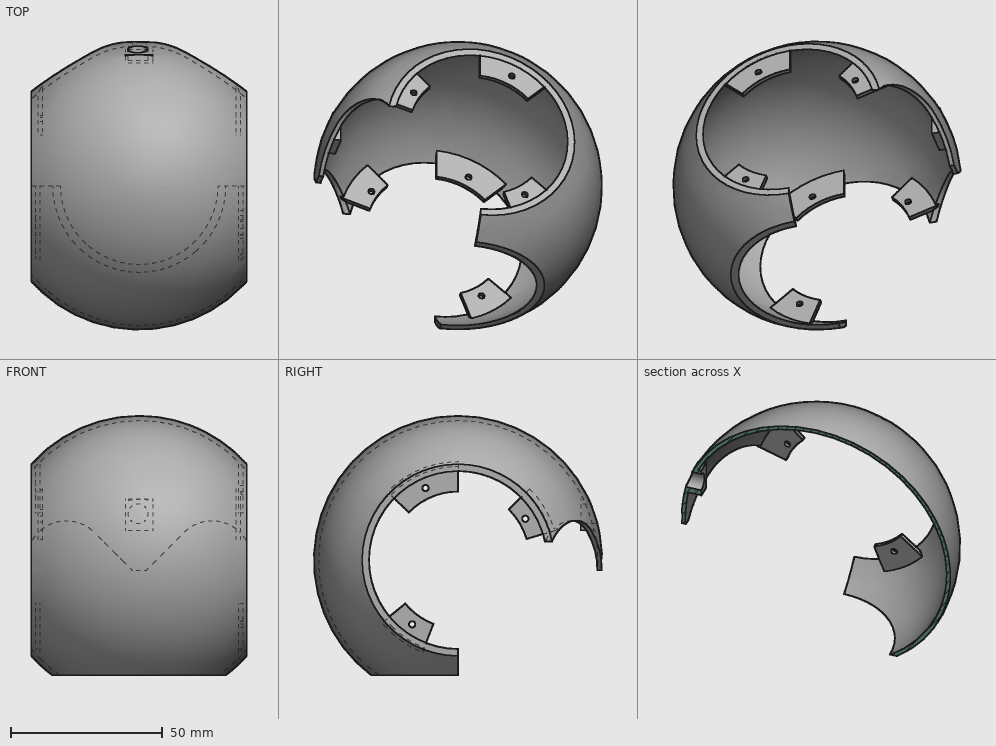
import cadquery as cq
import math

outer_radius = 47.5
wall = 1.5
inner_radius = outer_radius - wall
mid_wall_radius = outer_radius - wall / 2
half_width = 35.5
bottom_z = -38.0
span = 2 * outer_radius

arch_center_x = 24.0
arch_radius = 13.0
strap_flank_angle = 45.0
strap_end_z = -3.4

tabs = [
    (90.0, 136.0, 114.3, 22.5, 1.4),
    (17.0, 45.0, 31.5, 23.6, 2.2),
    (219.5, 249.0, 234.5, 22.5, 1.4),
]
tab_thickness = 1.5
tab_hole_circle_radius = 26.0
tab_hole_diameter = 2.0

boss_half_width = 4.5
boss_inner_y = 40.4
boss_outer_y = 43.05
boss_bottom_z = 9.8
boss_top_z = 20.1
boss_hole_x = -0.4
boss_hole_z = 15.3
boss_hole_diameter = 6.5


def block(x_min, x_max, y_min, y_max, z_min, z_max):
    """Axis-aligned box given by its limits."""
    box = cq.Workplane("XY").box(x_max - x_min, y_max - y_min, z_max - z_min, centered=False)
    return box.translate((x_min, y_min, z_min))


def ball(radius):
    """Solid sphere at the origin."""
    return cq.Workplane("XY").sphere(radius)


def polar(radius, angle):
    """Plane coordinates of a point given by radius and angle in degrees."""
    return radius * math.cos(math.radians(angle)), radius * math.sin(math.radians(angle))


def truncated_shell():
    """Hollow sphere cut flat at both X sides and at the bottom."""
    limits = block(-half_width, half_width, -span, span, bottom_z, span)
    return ball(outer_radius).cut(ball(inner_radius)).intersect(limits)


def arch_cutter():
    """+X half of the opening: an arch whose inner flank runs on as a tangent line."""
    flank_start_angle = 180.0 - strap_flank_angle

    def on_arch(angle):
        x, z = polar(arch_radius, angle)
        return arch_center_x + x, z

    flank_x, flank_z = on_arch(flank_start_angle)
    tip_half_width = flank_x - (flank_z - strap_end_z) / math.tan(math.radians(strap_flank_angle))
    profile = (
        cq.Workplane("XZ")
        .moveTo(*on_arch(0))
        .threePointArc(on_arch(flank_start_angle / 2), on_arch(flank_start_angle))
        .lineTo(tip_half_width, strap_end_z)
        .lineTo(tip_half_width, -span)
        .lineTo(arch_center_x + arch_radius, -span)
        .close()
    )
    return profile.extrude(-span)


def cut_opening(body):
    """Remove the lower +Y quarter, leaving the strap between the arches."""
    arch = arch_cutter()
    below_strap = block(-arch_center_x, arch_center_x, 0, span, -span, strap_end_z)
    return body.cut(arch).cut(arch.mirror("YZ")).cut(below_strap)


def tab(start, end, hole_angle, tab_radius, recess):
    """Ring-segment tab on the -X side with a screw hole, rooted in the shell wall."""
    middle = (start + end) / 2
    plane = cq.Workplane("YZ", origin=(recess - half_width, 0, 0))
    plate = (
        plane.moveTo(*polar(tab_radius, start))
        .threePointArc(polar(tab_radius, middle), polar(tab_radius, end))
        .lineTo(*polar(outer_radius, end))
        .threePointArc(polar(outer_radius, middle), polar(outer_radius, start))
        .close()
        .extrude(tab_thickness)
    )
    hole_place = plane.center(*polar(tab_hole_circle_radius, hole_angle))
    hole = hole_place.circle(tab_hole_diameter / 2).extrude(tab_thickness)
    return plate.intersect(ball(mid_wall_radius)).cut(hole)


def add_tabs(body):
    """Add every tab on the -X side and its mirror image on the +X side."""
    for dimensions in tabs:
        one_tab = tab(*dimensions)
        body = body.union(one_tab).union(one_tab.mirror("YZ"))
    return body


def add_boss(body):
    """Add the boss, filled out to the shell wall, and drill its hole through."""
    core = block(
        -boss_half_width, boss_half_width, boss_inner_y, boss_outer_y, boss_bottom_z, boss_top_z
    )
    fill = block(-boss_half_width, boss_half_width, boss_inner_y, span, boss_bottom_z, boss_top_z)
    fill = fill.intersect(ball(mid_wall_radius))
    hole = cq.Workplane("XZ").center(boss_hole_x, boss_hole_z).circle(boss_hole_diameter / 2)
    return body.union(fill).union(core).cut(hole.extrude(-span))


result = add_boss(add_tabs(cut_opening(truncated_shell())))